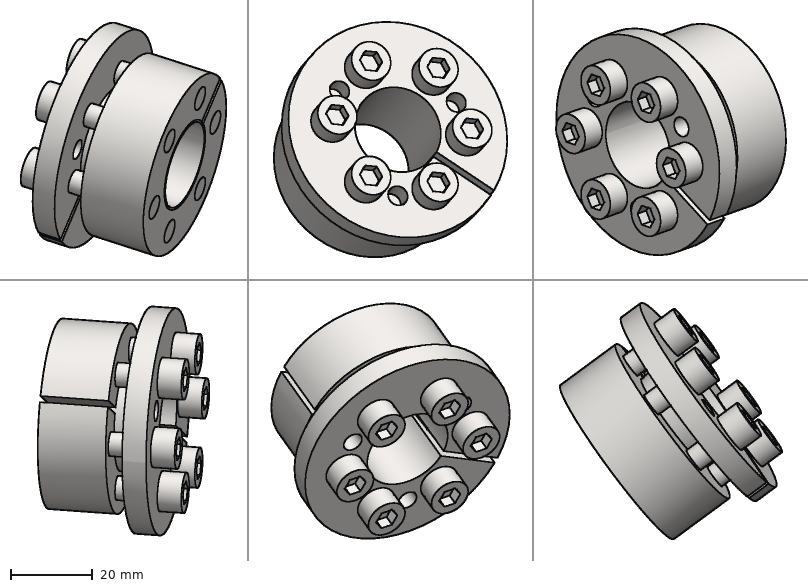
import cadquery as cq
import math


flange_diameter = 56.0
flange_thickness = 6.0
bore_diameter = 22.0
taper_angle = 4.5
cone_root_radius = 13.3
sleeve_slit_angle = 210.0
jack_hole_diameter = 5.0
jack_hole_angles = (30.0, 150.0, 270.0)

collar_diameter = 47.0
collar_length = 17.0
collar_gap = 5.0
collar_slit_angle = 30.0

slit_width = 1.5
hole_circle_radius = 17.25

screw_count = 6
head_diameter = 10.0
head_length = 6.0
shank_diameter = 6.0
socket_width = 5.0
socket_depth = 3.0

collar_start = flange_thickness + collar_gap
back_end = collar_start + collar_length
socket_corner_diameter = socket_width / math.cos(math.pi / 6)
screw_angles = [i * 360 / screw_count for i in range(screw_count)]


def cylinder(diameter, start, end):
    """Cylinder on the X axis between two X positions."""
    return cq.Workplane("YZ", origin=(start, 0, 0)).circle(diameter / 2).extrude(end - start)


def on_hole_circle(shape, angle):
    """Move a shape from the X axis to the hole circle, without turning it."""
    y = hole_circle_radius * math.cos(math.radians(angle))
    z = hole_circle_radius * math.sin(math.radians(angle))
    return shape.translate((0, y, z))


def slit(angle):
    """Radial slab from the axis out past the flange rim, over the whole length."""
    slab = cq.Workplane("XY").box(back_end, slit_width, flange_diameter, centered=(False, True, False))
    return slab.rotate((0, 0, 0), (1, 0, 0), angle - 90)


def cone():
    """Solid cone from the back of the flange to the back of the collar."""
    length = back_end - flange_thickness
    end_radius = cone_root_radius - length * math.tan(math.radians(taper_angle))
    return (
        cq.Workplane("XY")
        .moveTo(flange_thickness, 0)
        .lineTo(flange_thickness, cone_root_radius)
        .lineTo(back_end, end_radius)
        .lineTo(back_end, 0)
        .close()
        .revolve(360, (0, 0, 0), (1, 0, 0))
    )


def make_sleeve():
    """Flange and tapered sleeve, slit along one side."""
    sleeve = cylinder(flange_diameter, 0, flange_thickness).union(cone())
    sleeve = sleeve.cut(cylinder(bore_diameter, 0, back_end))
    jack_hole = cylinder(jack_hole_diameter, 0, flange_thickness)
    for angle in jack_hole_angles:
        sleeve = sleeve.cut(on_hole_circle(jack_hole, angle))
    screw_hole = cylinder(shank_diameter, 0, flange_thickness)
    for angle in screw_angles:
        sleeve = sleeve.cut(on_hole_circle(screw_hole, angle))
    return sleeve.cut(slit(sleeve_slit_angle))


def make_collar():
    """Collar with a tapered bore that seats on the cone, slit opposite the sleeve slit."""
    collar = cylinder(collar_diameter, collar_start, back_end).cut(cone())
    screw_hole = cylinder(shank_diameter, collar_start, back_end)
    for angle in screw_angles:
        collar = collar.cut(on_hole_circle(screw_hole, angle))
    return collar.cut(slit(collar_slit_angle))


def make_screw(angle):
    """Socket head screw whose shank ends flush with the back of the collar."""
    head = cylinder(head_diameter, -head_length, 0)
    shank = cylinder(shank_diameter, 0, back_end)
    socket = (
        cq.Workplane("YZ", origin=(-head_length, 0, 0))
        .polygon(6, socket_corner_diameter)
        .extrude(socket_depth)
    )
    return on_hole_circle(head.union(shank).cut(socket), angle)


sleeve = make_sleeve()
collar = make_collar()
screws = [make_screw(angle) for angle in screw_angles]

result = cq.Compound.makeCompound([body.solids().val() for body in [sleeve, collar, *screws]])